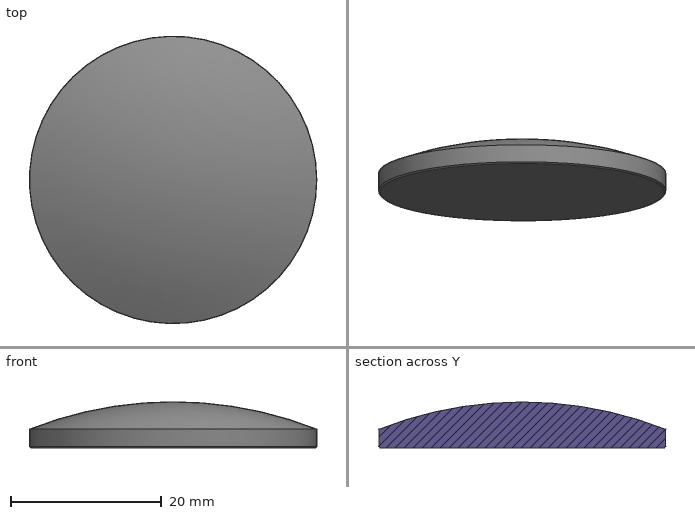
import cadquery as cq
import math

diameter = 38.1
centre_thickness = 6.14
edge_thickness = 2.5
bottom_bevel = 0.2

rim_radius = diameter / 2
rim_sag = centre_thickness - edge_thickness
convex_radius = (rim_radius**2 + rim_sag**2) / (2 * rim_sag)


def convex_height(distance):
    """Height of the convex face at a given distance from the axis."""
    sag = convex_radius - math.sqrt(convex_radius**2 - distance**2)
    return centre_thickness - sag


def half_section():
    """Half profile in the XZ plane, from the axis out to the rim."""
    mid_radius = rim_radius / 2
    return (
        cq.Workplane("XZ")
        .moveTo(0, 0)
        .lineTo(rim_radius - bottom_bevel, 0)
        .lineTo(rim_radius, bottom_bevel)
        .lineTo(rim_radius, edge_thickness)
        .threePointArc((mid_radius, convex_height(mid_radius)), (0, centre_thickness))
        .close()
    )


result = half_section().revolve(360, (0, 0, 0), (0, 1, 0))